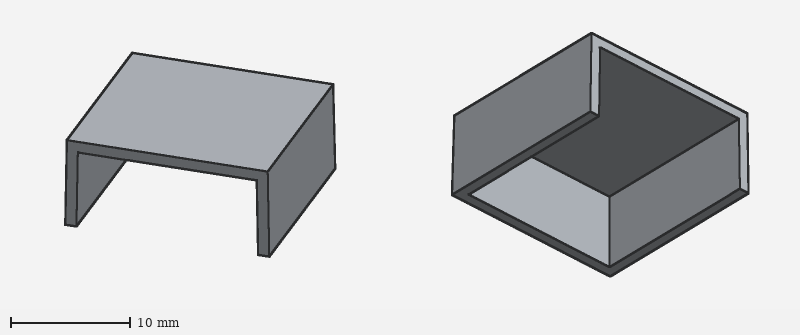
import cadquery as cq
import math

TOP_WIDTH = 17.8
TOP_DEPTH = 16.94
HEIGHT = 8.0
WALL = 1.0
DRAFT_ANGLE = 1.0

FLARE = HEIGHT * math.tan(math.radians(DRAFT_ANGLE))
BOTTOM_WIDTH = TOP_WIDTH + 2 * FLARE
BOTTOM_DEPTH = TOP_DEPTH + FLARE


def drafted_block(bottom_width, bottom_depth, height):
    """Block with a vertical front face at Y = 0 and drafted sides and back."""
    inset = height * math.tan(math.radians(DRAFT_ANGLE))
    top_width = bottom_width - 2 * inset
    top_depth = bottom_depth - inset
    return (
        cq.Workplane("XY")
        .center(0, bottom_depth / 2)
        .rect(bottom_width, bottom_depth)
        .workplane(offset=height)
        .center(0, (top_depth - bottom_depth) / 2)
        .rect(top_width, top_depth)
        .loft(ruled=True, combine=True)
    )


body = drafted_block(BOTTOM_WIDTH, BOTTOM_DEPTH, HEIGHT)

cavity = drafted_block(BOTTOM_WIDTH - 2 * WALL, BOTTOM_DEPTH - WALL, HEIGHT - WALL)

result = body.cut(cavity)